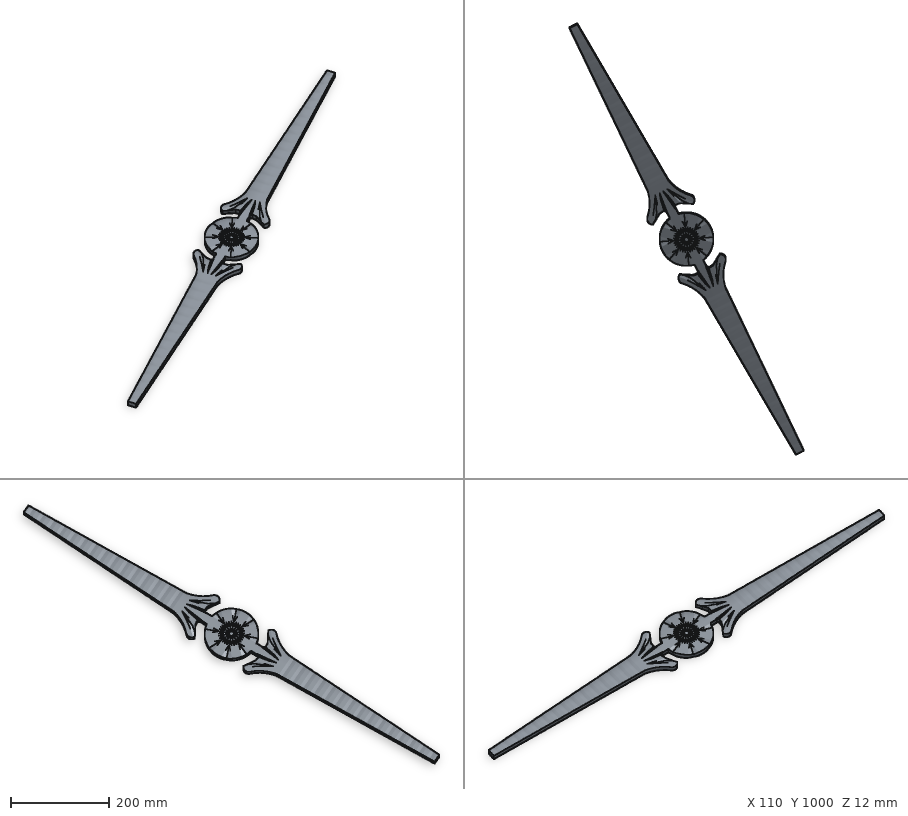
import cadquery as cq
import math

LENGTH = 1000.0
THICKNESS = 12.0
TOP = THICKNESS / 2

ARM_TIP_HALF_WIDTH = 9.0
ARM_ROOT_HALF_WIDTH = 24.0
ARM_ROOT_Y = 125.0
NOTCH_COUNT = 15
NOTCH_WIDTH = 15.0
NOTCH_DEPTH = 0.5
NOTCH_PITCH = (LENGTH / 2 - ARM_ROOT_Y) / NOTCH_COUNT

HUB_RADIUS = 55.0
SPOKE_COUNT = 8
SPOKE_HALF_WIDTH = 10.0
CARVE_DEPTH = 1.5
VALLEY_FULL_DEPTH_RADIUS = 38.0
RIM_OVERRUN = 3.0

OUTER_FLUTES = (32, 17.0, 26.0)
INNER_FLUTES = (16, 5.0, 14.0)

LEAF_OUTER_MID = (34.0, 98.0)
WING_SHOULDER = (51.0, 76.0)
WING_END_MID = (53.0, 67.0)
WING_TIP = (46.0, 59.0)
PETAL_OUTER_CORNER = (23.0, 73.0)
PETAL_INNER_CORNER = (14.0, 74.0)
BAR_CORNER = (SPOKE_HALF_WIDTH, 70.0)

INNER_VEIN_START = (4.0, 111.0)
INNER_VEIN_SECTIONS = [
    ((5.5, 98.0), (7.0, 98.0), (8.5, 98.0)),
    ((9.0, 68.0), (11.5, 68.0), (14.0, 68.0)),
]
OUTER_VEIN_START = (14.0, 111.0)
OUTER_VEIN_SECTIONS = [
    ((19.0, 92.0), (22.0, 92.0), (26.0, 92.0)),
    ((23.0, 76.0), (29.0, 76.0), (37.0, 76.0)),
    ((25.0, 54.0), (46.0, 54.0), (56.0, 54.0)),
]


def quarter_blank():
    """Plain plate for the +X half of the +Y arm, its leaf and the bar into the hub."""
    return (
        cq.Workplane("XY")
        .moveTo(0, 0)
        .lineTo(0, LENGTH / 2)
        .lineTo(ARM_TIP_HALF_WIDTH, LENGTH / 2)
        .lineTo(ARM_ROOT_HALF_WIDTH, ARM_ROOT_Y)
        .threePointArc(LEAF_OUTER_MID, WING_SHOULDER)
        .threePointArc(WING_END_MID, WING_TIP)
        .lineTo(*PETAL_OUTER_CORNER)
        .lineTo(*PETAL_INNER_CORNER)
        .lineTo(*BAR_CORNER)
        .lineTo(SPOKE_HALF_WIDTH, 0)
        .close()
        .extrude(TOP, both=True)
    )


def blank():
    quarter = quarter_blank()
    arm = quarter.union(quarter.mirror("YZ"))
    hub = cq.Workplane("XY").circle(HUB_RADIUS).extrude(TOP, both=True)
    return arm.union(arm.mirror("XZ")).union(hub).val()


def solid_from_polygons(polygons):
    faces = []
    for corners in polygons:
        outline = cq.Wire.makePolygon([cq.Vector(*c) for c in corners], close=True)
        faces.append(cq.Face.makeFromWires(outline))
    return cq.Solid.makeSolid(cq.Shell.makeShell(faces))


def v_cutter(sections, start=None):
    """V groove cutter sunk into the top face, ruled through (side, floor, side) plan points.

    A start point, when given, brings the groove to a sharp end on the face.
    """
    shapes = []
    if start:
        shapes.append(cq.Vertex.makeVertex(*start, TOP))
    for left, floor, right in sections:
        corners = [(*left, TOP), (*floor, TOP - CARVE_DEPTH), (*right, TOP)]
        shapes.append(cq.Wire.makePolygon([cq.Vector(*c) for c in corners], close=True))
    return cq.occ_impl.shapes.loft(*shapes, cap=True, ruled=True, compat=False)


def radial_section(radius, half_width):
    return ((radius, -half_width), (radius, 0), (radius, half_width))


def around_axis(cutter, count, first_angle=0.0):
    return [
        cutter.rotate((0, 0, 0), (0, 0, 1), first_angle + i * 360 / count)
        for i in range(count)
    ]


def hub_valleys():
    """V valleys between the spokes, with a sloping inner end and open at the rim."""
    half_angle = math.pi / SPOKE_COUNT
    apex = SPOKE_HALF_WIDTH / math.sin(half_angle)

    def section(radius):
        return radial_section(radius, (radius - apex) * math.tan(half_angle))

    sections = [section(VALLEY_FULL_DEPTH_RADIUS), section(HUB_RADIUS + RIM_OVERRUN)]
    return around_axis(v_cutter(sections, (apex, 0)), SPOKE_COUNT, math.degrees(half_angle))


def flutes(count, inner_radius, outer_radius):
    """Ring of wedge flutes meeting in sharp ridges, with floors that run out at the outer radius."""
    half_angle = math.pi / count

    def corners(radius):
        half_width = radius * math.tan(half_angle)
        return (radius, half_width, TOP), (radius, -half_width, TOP)

    inner_left, inner_right = corners(inner_radius)
    outer_left, outer_right = corners(outer_radius)
    floor = (inner_radius, 0, TOP - CARVE_DEPTH)
    faces = [
        (inner_left, inner_right, outer_right, outer_left),
        (inner_left, floor, inner_right),
        (inner_left, outer_left, floor),
        (inner_right, floor, outer_right),
        (outer_left, outer_right, floor),
    ]
    flute = solid_from_polygons(faces)
    return around_axis(flute, count, math.degrees(half_angle))


def leaf_veins():
    veins = [
        v_cutter(INNER_VEIN_SECTIONS, INNER_VEIN_START),
        v_cutter(OUTER_VEIN_SECTIONS, OUTER_VEIN_START),
    ]
    veins += [v.mirror("YZ") for v in veins]
    return veins + [v.mirror("XZ") for v in veins]


def arm_notches():
    notches = []
    half = NOTCH_WIDTH / 2
    for i in range(NOTCH_COUNT):
        y = ARM_ROOT_Y + (i + 0.5) * NOTCH_PITCH
        notch = (
            cq.Workplane("YZ")
            .polyline([(y - half, TOP), (y, TOP - NOTCH_DEPTH), (y + half, TOP)])
            .close()
            .extrude(ARM_ROOT_HALF_WIDTH, both=True)
            .val()
        )
        notches += [notch, notch.mirror("XZ")]
    return notches


cutters = arm_notches() + leaf_veins() + hub_valleys() + flutes(*OUTER_FLUTES) + flutes(*INNER_FLUTES)
mirrored_cutters = [cutter.mirror("XY") for cutter in cutters]
result = cq.Workplane(blank().cut(*cutters, *mirrored_cutters))